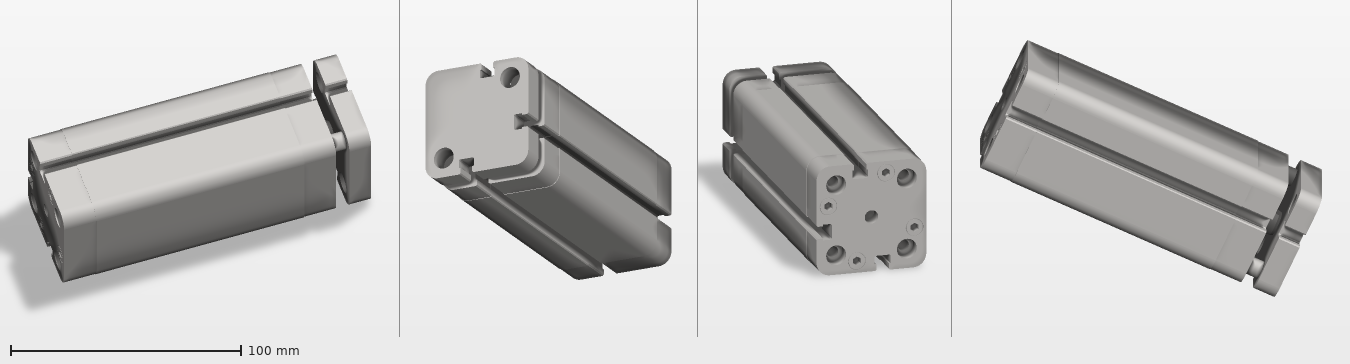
import cadquery as cq
import math


total_length = 140.5
plate_length = 10.0
gap_length = 6.0
cover_length = 14.6
barrel_length = total_length - plate_length - gap_length - 2 * cover_length

rear_face = -total_length / 2
barrel_start = rear_face + cover_length
barrel_end = barrel_start + barrel_length
rod_exit = barrel_end + cover_length
plate_start = rod_exit + gap_length

barrel_size = 50.2
cover_size = 49.7
straight_side = 37.7

groove_angles = (0, -90, -180)
groove_offset = 5.0
mouth_width = 5.6
lip_depth = 21.9
corner_chamfer = 0.4
barrel_groove_width = 6.7
barrel_groove_floor = 18.1
barrel_mouth_chamfer = 0.4
cover_groove_width = 7.2
cover_groove_floor = 18.0
cover_mouth_chamfer = 0.5

hole_position = 16.0
hole_diameter = 5.0
counterbore_diameter = 9.0
counterbore_depth = 5.3
plate_hole_diameter = 9.5
center_hole_diameter = 6.0
center_hole_depth = 6.0

screw_along_side = 6.6
screw_from_axis = 19.5
screw_recess_diameter = 8.0
screw_head_diameter = 7.5
screw_recess_depth = 0.4
socket_across_flats = 3.5
socket_depth = 3.1

guide_position = 17.0
guide_diameter = 8.0

rod_diameter = 12.0
rod_across_flats = 10.0
rod_taper_length = 1.3
rod_tip_diameter = 10.5
flat_start = 1.5


def section_plane(y):
    """Sketch plane across the axis, with local X along X and local Y along Z."""
    return cq.Workplane("XZ", origin=(0, y, 0))


def bar(y_start, y_end, diameter, x=0.0, z=0.0):
    """Round bar parallel to Y."""
    return section_plane(y_start).center(x, z).circle(diameter / 2).extrude(y_start - y_end)


def turn(body, angle):
    """Turn a body about the Y axis; positive angles lead from +Z to +X."""
    return body.rotate((0, 0, 0), (0, 1, 0), angle)


def groove(y_start, length, size, width, floor, mouth_chamfer):
    """Groove cutter in the +Z side."""
    half_mouth = mouth_width / 2
    half_width = width / 2
    side = size / 2
    right_half = [
        (half_width - corner_chamfer, floor),
        (half_width, floor + corner_chamfer),
        (half_width, lip_depth),
        (half_mouth, lip_depth),
        (half_mouth, side - mouth_chamfer),
        (half_mouth + mouth_chamfer, side),
    ]
    left_half = [(-x, z) for x, z in reversed(right_half)]
    sketch = section_plane(y_start).center(-groove_offset, 0)
    return sketch.polyline(right_half + left_half).close().extrude(-length)


def grooved_block(y_start, length, size, width, floor, mouth_chamfer):
    block = section_plane(y_start).rect(size, size).extrude(-length)
    block = block.edges("|Y").fillet((size - straight_side) / 2)
    cutter = groove(y_start, length, size, width, floor, mouth_chamfer)
    for angle in groove_angles:
        block = block.cut(turn(cutter, angle))
    return block


def cover_block(y_start, length):
    return grooved_block(
        y_start, length, cover_size, cover_groove_width, cover_groove_floor, cover_mouth_chamfer
    )


def screw_recess(angle):
    """Ring around a screw head and its hexagon socket, at one quarter-turn position."""
    turn_angle = math.radians(angle)
    x = screw_along_side * math.cos(turn_angle) + screw_from_axis * math.sin(turn_angle)
    z = screw_from_axis * math.cos(turn_angle) - screw_along_side * math.sin(turn_angle)
    recess_floor = rear_face + screw_recess_depth
    ring = bar(rear_face, recess_floor, screw_recess_diameter, x, z)
    ring = ring.cut(bar(rear_face, recess_floor, screw_head_diameter, x, z))
    socket_corners = socket_across_flats / math.cos(math.pi / 6)
    socket = section_plane(rear_face).center(x, z).transformed(rotate=(0, 0, 90))
    socket = socket.polygon(6, socket_corners).extrude(-socket_depth)
    return ring.union(socket)


def cylinder_body():
    body = cover_block(rear_face, cover_length)
    body = body.union(
        grooved_block(
            barrel_start,
            barrel_length,
            barrel_size,
            barrel_groove_width,
            barrel_groove_floor,
            barrel_mouth_chamfer,
        )
    )
    body = body.union(cover_block(barrel_end, cover_length))

    counterbore_floor = rear_face + counterbore_depth
    for x in (-hole_position, hole_position):
        for z in (-hole_position, hole_position):
            body = body.cut(bar(rear_face, rod_exit, hole_diameter, x, z))
            body = body.cut(bar(rear_face, counterbore_floor, counterbore_diameter, x, z))
    body = body.cut(bar(rear_face, rear_face + center_hole_depth, center_hole_diameter))

    for angle in (0, 90, 180, 270):
        body = body.cut(screw_recess(angle))
    return body


def end_plate():
    """Plate with through holes in the two corners that have no guide rod."""
    plate = cover_block(plate_start, plate_length)
    plate_end = plate_start + plate_length
    for x in (-hole_position, hole_position):
        plate = plate.cut(bar(plate_start, plate_end, plate_hole_diameter, x, -x))
    return plate


def piston_rod():
    taper_start = plate_start - rod_taper_length
    radius = rod_diameter / 2
    half_flats = rod_across_flats / 2
    tip_radius = rod_tip_diameter / 2
    half_profile = [
        (0, rod_exit),
        (radius, rod_exit),
        (radius, taper_start),
        (tip_radius, plate_start),
        (0, plate_start),
    ]
    rod = cq.Workplane("XY").polyline(half_profile).close().revolve(360, (0, 0, 0), (0, 1, 0))

    full_flat = rod_exit + flat_start
    runout_start = full_flat - (radius - half_flats)
    flat_outline = [
        (half_flats, plate_start),
        (half_flats, full_flat),
        (radius, runout_start),
        (radius, plate_start),
    ]
    flat = cq.Workplane("XY").polyline(flat_outline).close().extrude(radius, both=True)
    return rod.cut(flat).cut(turn(flat, 180))


result = cylinder_body().union(end_plate()).union(piston_rod())
for position in (-guide_position, guide_position):
    result = result.union(bar(rod_exit, plate_start, guide_diameter, position, position))